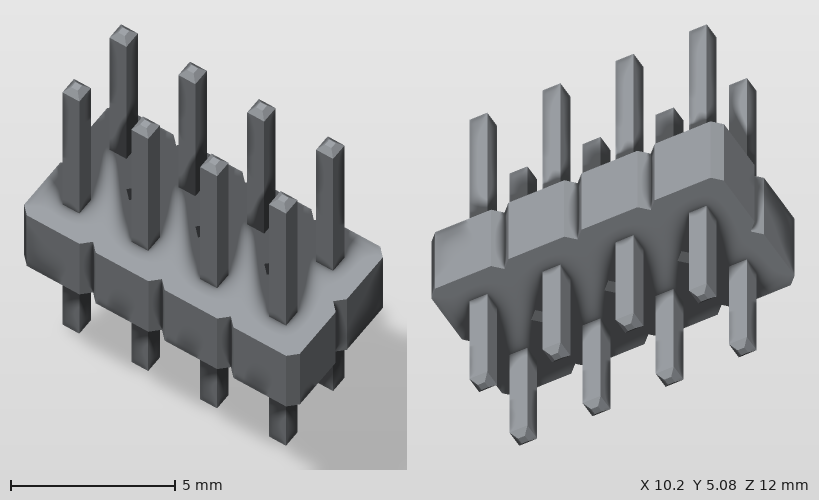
import cadquery as cq

columns = 4
rows = 2
header_length = 10.16
total_height = 12.0
tail_length = 3.67
block_height = 2.53
corner_chamfer = 0.3
pin_width = 0.62
tip_width = 0.24
tip_height = 0.19

pitch = header_length / columns
shank_height = total_height - 2 * tip_height


def make_block():
    """Square insulator block with chamfered vertical edges, standing on Z = 0."""
    return (
        cq.Workplane("XY")
        .rect(pitch, pitch)
        .extrude(block_height)
        .edges("|Z")
        .chamfer(corner_chamfer)
    )


def make_tip(base_z, direction):
    """Truncated pyramid that closes a pin end; direction is +1 for up, -1 for down."""
    return (
        cq.Workplane("XY", origin=(0, 0, base_z))
        .rect(pin_width, pin_width)
        .workplane(offset=direction * tip_height)
        .rect(tip_width, tip_width)
        .loft(ruled=True)
    )


def make_pin():
    """Square pin with a tapered tip at both ends."""
    shank_bottom = tip_height - tail_length
    shank = (
        cq.Workplane("XY", origin=(0, 0, shank_bottom))
        .rect(pin_width, pin_width)
        .extrude(shank_height)
    )
    lower_tip = make_tip(shank_bottom, -1)
    upper_tip = make_tip(shank_bottom + shank_height, 1)
    return shank.union(lower_tip).union(upper_tip)


def make_contact_unit(x, y):
    """One block and its pin as a single solid, centred on (x, y)."""
    return make_block().union(make_pin()).translate((x, y, 0))


contact_units = []
for column in range(columns):
    for row in range(rows):
        x = (column - (columns - 1) / 2) * pitch
        y = (row - (rows - 1) / 2) * pitch
        contact_units.append(make_contact_unit(x, y).val())

result = cq.Compound.makeCompound(contact_units)